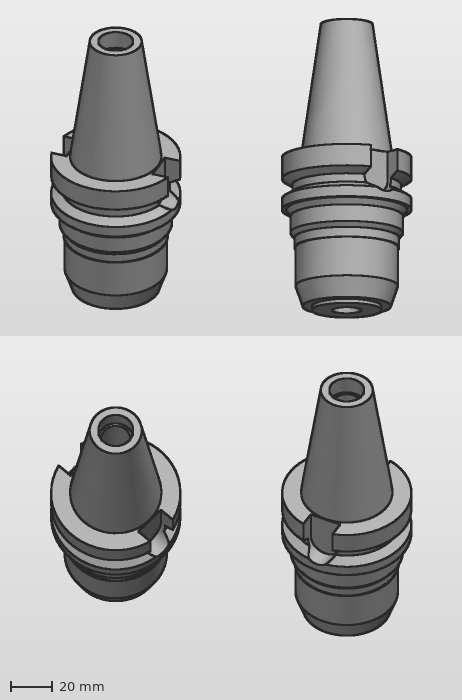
import cadquery as cq
import math


gauge_radius = 44.45 / 2
taper_length = 65.4
taper_ratio = 7 / 24
taper_tip_radius = gauge_radius - taper_length * taper_ratio / 2

flange_radius = 63 / 2
flange_top_z = -1.0
flange_bottom_z = -27.0
groove_centre_z = -16.6
groove_floor_radius = 53 / 2
groove_floor_width = 4.15
groove_wall_angle = 30
groove_wall_height = (flange_radius - groove_floor_radius) * math.tan(math.radians(groove_wall_angle))
groove_floor_top_z = groove_centre_z + groove_floor_width / 2
groove_floor_bottom_z = groove_centre_z - groove_floor_width / 2

collar_cone_radius = 59 / 2
collar_radius = 55 / 2
collar_top_z = -30.2
collar_bottom_z = -38.5
ring_radius = 51 / 2
ring_top_z = -41.0
ring_bottom_z = -45.8

body_radius = 50 / 2
body_bottom_z = -65.0
nose_radius = 43 / 2
nose_bottom_z = -75.0
spigot_radius = 34 / 2
holder_bottom_z = -77.0

bore_diameter = 14.2
counterbore_diameter = 17.0
counterbore_depth = 9.0

slot_width = 16.1
slot_floor_x = 22.5
slot_bottom_z = -23.0


def make_body():
    """Revolve the half outline (radius, Z) about the Z axis."""
    outline = [
        (0, taper_length),
        (taper_tip_radius, taper_length),
        (gauge_radius, 0),
        (gauge_radius, flange_top_z),
        (flange_radius, flange_top_z),
        (flange_radius, groove_floor_top_z + groove_wall_height),
        (groove_floor_radius, groove_floor_top_z),
        (groove_floor_radius, groove_floor_bottom_z),
        (flange_radius, groove_floor_bottom_z - groove_wall_height),
        (flange_radius, flange_bottom_z),
        (collar_cone_radius, flange_bottom_z),
        (collar_radius, collar_top_z),
        (collar_radius, collar_bottom_z),
        (ring_radius, ring_top_z),
        (ring_radius, ring_bottom_z),
        (body_radius, ring_bottom_z),
        (body_radius, body_bottom_z),
        (nose_radius, nose_bottom_z),
        (spigot_radius, nose_bottom_z),
        (spigot_radius, holder_bottom_z),
        (0, holder_bottom_z),
    ]
    return cq.Workplane("XZ").polyline(outline).close().revolve(360, (0, 0, 0), (0, 1, 0))


def cut_bore(part):
    """Cut the through bore and its counterbore."""
    return (
        part.faces(">Z")
        .workplane(origin=(0, 0, taper_length))
        .cboreHole(bore_diameter, counterbore_diameter, counterbore_depth)
    )


def make_slot_cutter(side):
    """Round-bottomed key slot, open at the flange top, on the side given by +1 or -1 in X."""
    half_width = slot_width / 2
    arc_centre_z = slot_bottom_z + half_width
    return (
        cq.Workplane("YZ", origin=(side * slot_floor_x, 0, 0))
        .moveTo(-half_width, 0)
        .lineTo(-half_width, arc_centre_z)
        .threePointArc((0, slot_bottom_z), (half_width, arc_centre_z))
        .lineTo(half_width, 0)
        .close()
        .extrude(side * (flange_radius - slot_floor_x))
    )


result = cut_bore(make_body())
for slot_side in (-1, 1):
    result = result.cut(make_slot_cutter(slot_side))